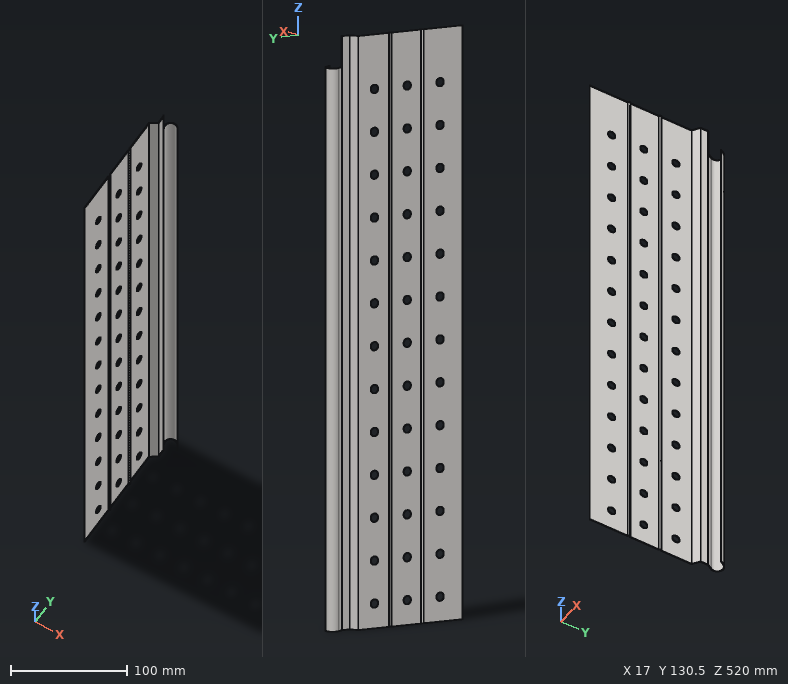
import cadquery as cq
import math

length = 520.0
width = 130.5
depth = 17.0

thickness = 0.5
step_start_y = 104.0
step_angle = 36.0
neck_x = 7.0
hook_leg_angle = 120.0
hook_radius = 6.0
hook_center_x = 9.5

bead_radius = 1.5
bead_positions = (40.0, 72.0)

hole_diameter = 7.5
hole_columns = (22.5, 55.0, 88.0)
hole_count = 13
first_hole_z = 22.0
last_hole_z = 472.0
hole_pitch = (last_hole_z - first_hole_z) / (hole_count - 1)

notch_start_y = 117.5
notch_height = 27.0


def on_hook(radius, angle):
    """Point on a circle about the hook centre, angle in degrees from the X axis."""
    a = math.radians(angle)
    return (hook_center_x + radius * math.cos(a), width - hook_radius + radius * math.sin(a))


def add_bead(outline, face_x, radius, center_y, direction):
    """Run along the panel face at face_x and round one bead centred on the plane x = 0."""
    half_width = math.sqrt(radius**2 - face_x**2)
    return (
        outline.lineTo(face_x, center_y - direction * half_width)
        .threePointArc((radius, center_y), (face_x, center_y + direction * half_width))
    )


def make_sheet():
    """Extrude the bent cross-section along Z."""
    leg_start_angle = hook_leg_angle + 90
    crown_angle = leg_start_angle - 90
    lip_start_angle = leg_start_angle - 180
    inner_radius = hook_radius - thickness
    leg_slope = math.tan(math.radians(hook_leg_angle))

    step_end_y = step_start_y + neck_x * math.tan(math.radians(step_angle))
    leg_top = on_hook(hook_radius, leg_start_angle)
    neck_end_y = leg_top[1] + (neck_x - leg_top[0]) * leg_slope

    step_miter = thickness * math.tan(math.radians((90 - step_angle) / 2))
    leg_miter = thickness * math.tan(math.radians((hook_leg_angle - 90) / 2))

    lip_root = on_hook(hook_radius, lip_start_angle)
    lip_inner_root = on_hook(inner_radius, lip_start_angle)
    lip_tip = (depth, lip_root[1] + (depth - lip_root[0]) * leg_slope)
    lip_inner_tip = (
        lip_tip[0] + lip_inner_root[0] - lip_root[0],
        lip_tip[1] + lip_inner_root[1] - lip_root[1],
    )

    outline = cq.Workplane("XY").moveTo(0, 0)
    for center_y in bead_positions:
        outline = add_bead(outline, 0, bead_radius - thickness, center_y, 1)
    outline = (
        outline.lineTo(0, step_start_y)
        .lineTo(neck_x, step_end_y)
        .lineTo(neck_x, neck_end_y)
        .lineTo(*leg_top)
        .threePointArc(on_hook(hook_radius, crown_angle), lip_root)
        .lineTo(*lip_tip)
        .lineTo(*lip_inner_tip)
    )
    outline = (
        outline.lineTo(*lip_inner_root)
        .threePointArc(on_hook(inner_radius, crown_angle), on_hook(inner_radius, leg_start_angle))
        .lineTo(neck_x + thickness, neck_end_y + leg_miter)
        .lineTo(neck_x + thickness, step_end_y - step_miter)
        .lineTo(thickness, step_start_y - step_miter)
    )
    for center_y in reversed(bead_positions):
        outline = add_bead(outline, thickness, bead_radius, center_y, -1)
    return outline.lineTo(thickness, 0).close().extrude(length)


def make_holes():
    """Cylinders along X for the grid of round holes in the panel."""
    centers = [
        (y, first_hole_z + row * hole_pitch)
        for y in hole_columns
        for row in range(hole_count)
    ]
    return (
        cq.Workplane("YZ", origin=(-thickness, 0, 0))
        .pushPoints(centers)
        .circle(hole_diameter / 2)
        .extrude(3 * thickness)
    )


def make_notch():
    """Block that removes the hook at the top end."""
    return cq.Workplane("XY").box(depth, width, notch_height, centered=False).translate(
        (0, notch_start_y, length - notch_height)
    )


result = make_sheet().cut(make_holes()).cut(make_notch())